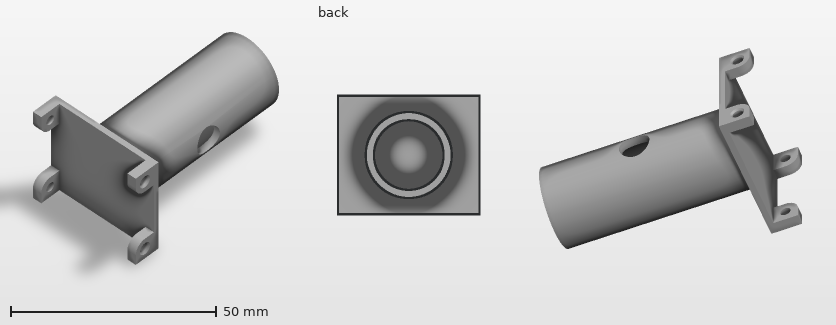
import cadquery as cq

width = 34.5
length = 58.0
height = 29.0

plate_thickness = 1.6
lug_reach = 6.45
lug_height = 6.55
lug_thickness = 2.8
lug_corner_radius = 3.25

lug_hole_diameter = 2.7
countersink_diameter = 3.65
countersink_depth = 0.45
lug_hole_from_plate = 3.2
lug_hole_from_edge = 3.25

tube_diameter = 21.0
bore_diameter = 17.0
cross_hole_diameter = 8.0
cross_hole_from_end = 25.0

plate_front = -length / 2 + lug_reach
plate_back = plate_front + plate_thickness
tube_end = length / 2
tube_length = tube_end - plate_back


def rod_along_y(diameter, start, rod_length):
    """Cylinder on the tube axis, running in +Y from start."""
    return cq.Workplane(
        cq.Solid.makeCylinder(diameter / 2, rod_length, cq.Vector(0, start, 0), cq.Vector(0, 1, 0))
    )


def make_housing():
    """Plate and tube in one piece; the bore is closed by the plate."""
    plate = cq.Workplane("XY").box(width, plate_thickness, height).translate(
        (0, plate_front + plate_thickness / 2, 0)
    )
    tube = rod_along_y(tube_diameter, plate_back, tube_length)
    bore = rod_along_y(bore_diameter, plate_back, tube_length)
    cross_hole = (
        cq.Workplane("YZ")
        .center(tube_end - cross_hole_from_end, 0)
        .circle(cross_hole_diameter / 2)
        .extrude(tube_diameter / 2, both=True)
    )
    return plate.union(tube).cut(bore).cut(cross_hole)


def make_upper_left_lug():
    """Lug in the -X, +Z corner, rounded at its free corner towards the middle of the plate."""
    outer_face = -width / 2
    top = height / 2
    lug = (
        cq.Workplane("YZ", origin=(outer_face, plate_front, top))
        .lineTo(-lug_reach, 0)
        .lineTo(-lug_reach, -lug_height + lug_corner_radius)
        .radiusArc((-lug_reach + lug_corner_radius, -lug_height), -lug_corner_radius)
        .lineTo(0, -lug_height)
        .close()
        .extrude(lug_thickness)
    )
    hole_center = cq.Vector(
        outer_face, plate_front - lug_hole_from_plate, top - lug_hole_from_edge
    )
    inward = cq.Vector(1, 0, 0)
    hole = cq.Solid.makeCylinder(lug_hole_diameter / 2, lug_thickness, hole_center, inward)
    countersink = cq.Solid.makeCone(
        countersink_diameter / 2, lug_hole_diameter / 2, countersink_depth, hole_center, inward
    )
    return lug.cut(cq.Workplane(hole)).cut(cq.Workplane(countersink))


def make_lugs():
    """Four separate lugs, mirrored into the corners of the plate."""
    upper_left = make_upper_left_lug()
    upper_pair = [upper_left, upper_left.mirror("YZ")]
    lugs = []
    for lug in upper_pair:
        lugs.append(lug.val())
        lugs.append(lug.mirror("XY").val())
    return lugs


housing = make_housing()
lugs = make_lugs()
result = cq.Compound.makeCompound([housing.val(), *lugs])